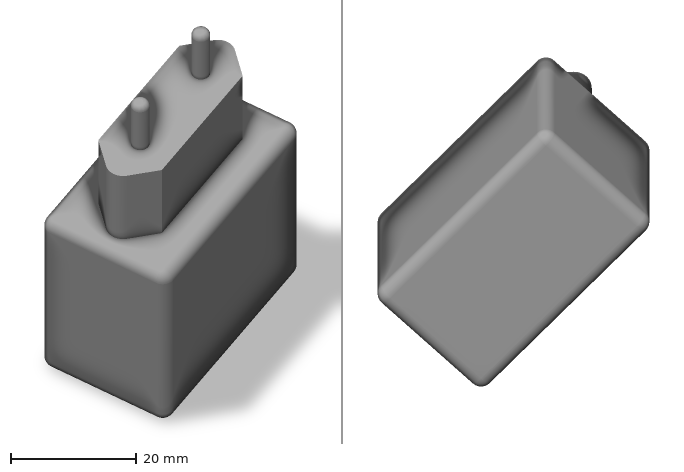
import cadquery as cq
import math

total_height = 60.0
body_width = 24.0
body_depth = 40.0
body_edge_radius = 2.0

plug_width = 12.0
plug_straight_length = 24.0
plug_height = 15.0
nose_half_width = 2.0

pin_diameter = 3.0
pin_height = 10.0
pin_spacing = 18.0
pin_tip_radius = 1.0

body_height = total_height - plug_height - pin_height
plug_top = body_height + plug_height


def make_body():
    """Box with every edge rounded, standing on Z = 0."""
    box = cq.Workplane("XY").box(body_width, body_depth, body_height, centered=(True, True, False))
    return box.edges().fillet(body_edge_radius)


def make_plug():
    """Prism with 45 degree shoulders that run tangent into a rounded nose at each end."""
    side_x = plug_width / 2
    shoulder_y = plug_straight_length / 2
    nose_start_y = shoulder_y + side_x - nose_half_width
    nose_tip_y = nose_start_y + nose_half_width * math.tan(math.radians(22.5))
    return (
        cq.Workplane("XY", origin=(0, 0, body_height))
        .moveTo(side_x, -shoulder_y)
        .lineTo(side_x, shoulder_y)
        .lineTo(nose_half_width, nose_start_y)
        .threePointArc((0, nose_tip_y), (-nose_half_width, nose_start_y))
        .lineTo(-side_x, shoulder_y)
        .lineTo(-side_x, -shoulder_y)
        .lineTo(-nose_half_width, -nose_start_y)
        .threePointArc((0, -nose_tip_y), (nose_half_width, -nose_start_y))
        .close()
        .extrude(plug_height)
    )


def make_pin(center_y):
    """Round pin with a rounded tip, standing on the plug block."""
    pin = cq.Workplane("XY", origin=(0, center_y, plug_top)).circle(pin_diameter / 2).extrude(pin_height)
    return pin.faces(">Z").edges().fillet(pin_tip_radius)


result = make_body().union(make_plug())
for side in (-1, 1):
    result = result.union(make_pin(side * pin_spacing / 2))